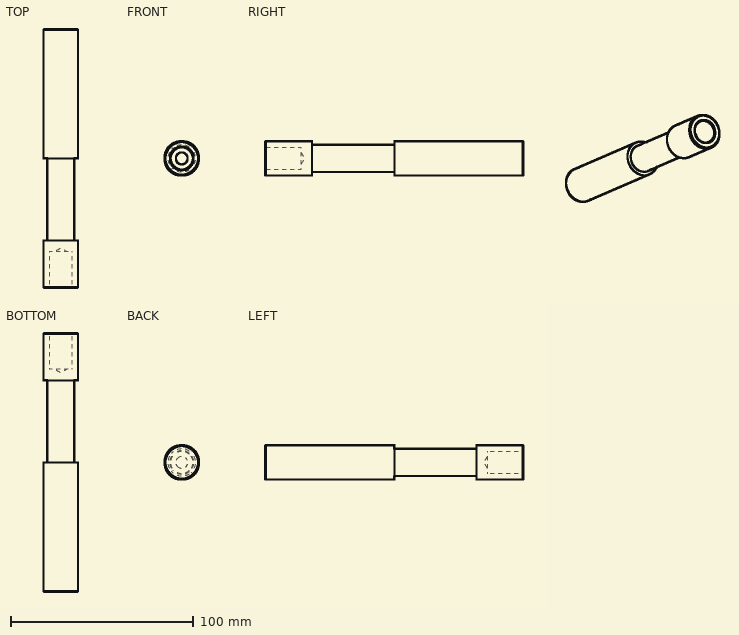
import cadquery as cq
import math

total_length = 142.0
body_diameter = 19.0
handle_length = 71.0
collar_length = 26.0
neck_diameter = 15.0
edge_chamfer = 0.5

socket_diameter = 12.2
socket_depth = 19.9
socket_chamfer = 0.4
drill_diameter = 6.5
drill_point_angle = 118.0

front_y = -total_length / 2
back_y = total_length / 2
neck_length = total_length - handle_length - collar_length


def cylinder(diameter, start_y, length):
    """Solid cylinder along +Y, starting at start_y."""
    plane = cq.Workplane("XZ", origin=(0, start_y, 0))
    return plane.circle(diameter / 2).extrude(-length)


def cone(base_diameter, start_y, height):
    """Solid cone with its base at start_y and its tip towards +Y."""
    return cq.Workplane(
        cq.Solid.makeCone(base_diameter / 2, 0, height, cq.Vector(0, start_y, 0), cq.Vector(0, 1, 0))
    )


collar = cylinder(body_diameter, front_y, collar_length).faces("<Y").chamfer(edge_chamfer)
handle = cylinder(body_diameter, back_y - handle_length, handle_length).faces(">Y").chamfer(edge_chamfer)
neck = cylinder(neck_diameter, front_y + collar_length, neck_length)
body = collar.union(neck).union(handle)

socket = cylinder(socket_diameter, front_y, socket_depth)
drill_point_height = drill_diameter / 2 / math.tan(math.radians(drill_point_angle / 2))
drill_point = cone(drill_diameter, front_y + socket_depth, drill_point_height)

mouth_diameter = socket_diameter + 2 * socket_chamfer
mouth = cone(mouth_diameter, front_y, mouth_diameter / 2)

result = body.cut(socket).cut(drill_point).cut(mouth)